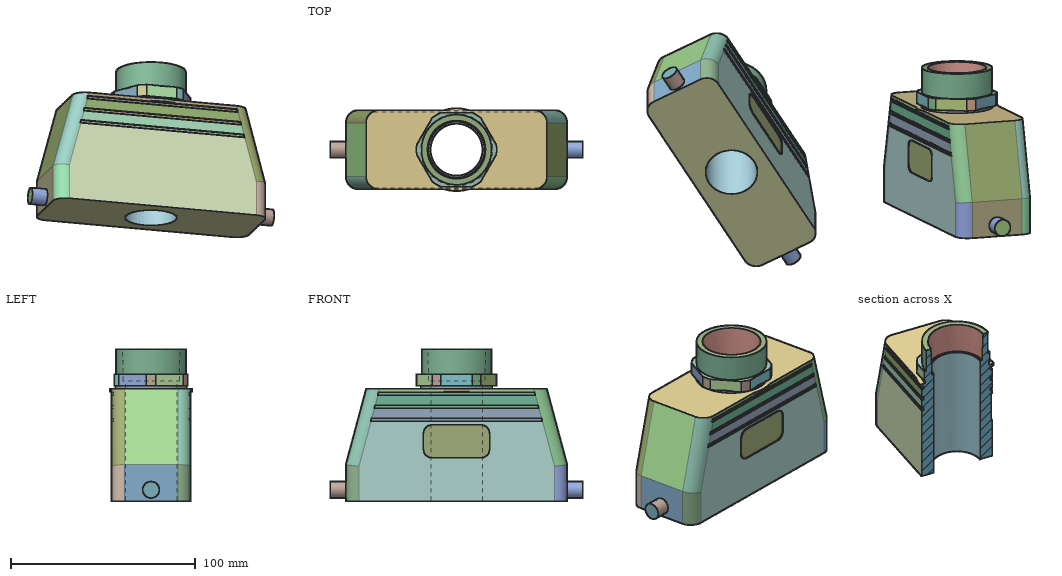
import cadquery as cq
import math

body_length = 120.0
body_width = 43.0
body_height = 61.0
shoulder_height = 20.0
end_wall_angle = 15.0
corner_radius = 7.0
top_length = body_length - 2 * (body_height - shoulder_height) * math.tan(math.radians(end_wall_angle))

groove_count = 3
groove_pitch = 7.0
groove_height = 1.6
groove_depth = 1.0
first_groove_top = 59.1

collar_diameter = 45.0
collar_thickness = 1.6

panel_length = 35.8
panel_height = 17.8
panel_radius = 4.5
panel_depth = 0.5
panel_center_z = 32.5

pin_diameter = 9.0
pin_span = 137.0
pin_center_z = 6.25

neck_diameter = 39.0
hex_across_flats = 40.0
hex_corner_diameter = 43.5
spout_diameter = 38.0
hex_bottom = 62.5
hex_top = 68.9
overall_height = 82.5

passage_diameter = 28.0
bore_top_diameter = 31.5
bore_bottom_diameter = 30.41
bore_depth = 17.2


def cylinder(diameter, bottom, top):
    """Vertical cylinder on the part axis."""
    return cq.Workplane("XY").workplane(offset=bottom).circle(diameter / 2).extrude(top - bottom)


def make_body():
    """House-shaped block with its four corner columns rounded."""
    profile = (
        cq.Workplane("XZ")
        .moveTo(-body_length / 2, 0)
        .lineTo(body_length / 2, 0)
        .lineTo(body_length / 2, shoulder_height)
        .lineTo(top_length / 2, body_height)
        .lineTo(-top_length / 2, body_height)
        .lineTo(-body_length / 2, shoulder_height)
        .close()
    )
    block = profile.extrude(body_width / 2, both=True)
    corners = block.edges("#Y").edges("not(|X)")
    return corners.fillet(corner_radius)


def make_grooves():
    """Bars that cut the grooves, only across the flat part of each long wall."""
    lean = math.radians(end_wall_angle)
    flat_inset = corner_radius / math.cos(lean)
    grooves = cq.Workplane("XY")
    for index in range(groove_count):
        top = first_groove_top - index * groove_pitch
        bottom = top - groove_height
        top_half = top_length / 2 + (body_height - top) * math.tan(lean) - flat_inset
        bottom_half = top_half + groove_height * math.tan(lean)
        outline = [(-bottom_half, bottom), (bottom_half, bottom), (top_half, top), (-top_half, top)]
        bar = cq.Workplane("XZ").polyline(outline).close().extrude(groove_depth, both=True)
        for side in (-1, 1):
            grooves = grooves.add(bar.translate((0, side * body_width / 2, 0)))
    return grooves.combine()


def make_panel():
    """Rounded plate that cuts the name panel into the front wall."""
    return (
        cq.Workplane("XZ", origin=(0, -body_width / 2, 0))
        .center(0, panel_center_z)
        .rect(panel_length, panel_height)
        .extrude(-panel_depth)
        .edges("|Y")
        .fillet(panel_radius)
    )


def make_pins():
    """One bar through the body that forms a pin at each end."""
    return (
        cq.Workplane("YZ")
        .center(0, pin_center_z)
        .circle(pin_diameter / 2)
        .extrude(pin_span / 2, both=True)
    )


def make_cable_entry():
    """Neck, turned hexagon and spout, stacked on the top face."""
    hexagon = (
        cq.Workplane("XY")
        .workplane(offset=hex_bottom)
        .polygon(6, hex_across_flats, circumscribed=True)
        .extrude(hex_top - hex_bottom)
        .rotate((0, 0, 0), (0, 0, 1), 30)
        .intersect(cylinder(hex_corner_diameter, hex_bottom, hex_top))
    )
    neck = cylinder(neck_diameter, body_height - collar_thickness, hex_bottom)
    spout = cylinder(spout_diameter, hex_top, overall_height)
    return neck.union(hexagon).union(spout)


def make_passage():
    """Tapered bore at the spout, then a straight hole through the whole part."""
    bore_bottom = overall_height - bore_depth
    taper = (
        cq.Workplane("XY")
        .workplane(offset=bore_bottom)
        .circle(bore_bottom_diameter / 2)
        .workplane(offset=bore_depth)
        .circle(bore_top_diameter / 2)
        .loft()
    )
    return taper.union(cylinder(passage_diameter, 0, bore_bottom))


result = make_body().cut(make_grooves()).cut(make_panel())
result = result.union(cylinder(collar_diameter, body_height - collar_thickness, body_height))
result = result.union(make_pins())
result = result.union(make_cable_entry())
result = result.cut(make_passage())